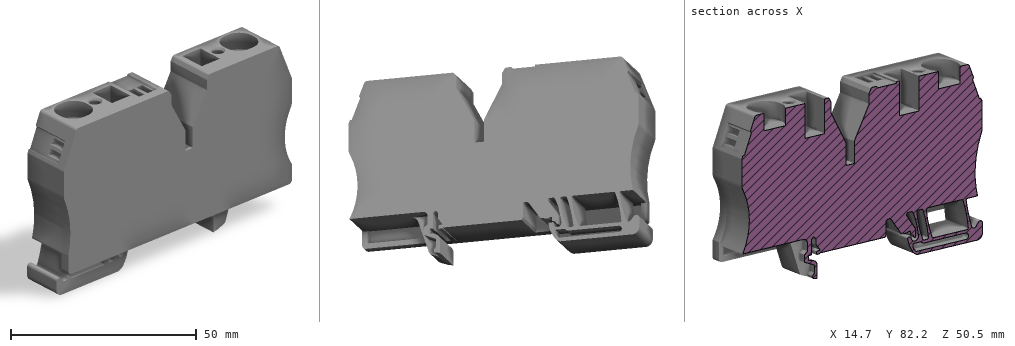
import cadquery as cq
import math


housing_width = 11.9
total_width = 14.7
half_length = 41.0
top_z = 43.4

top_half_length = 36.4
slope_foot_z = 31.9
waist_top_z = 23.75
shoulder_round = 1.1
slope_foot_round = 0.8
waist_top_round = 2.6

notch_y = 4.0
notch_half_slot = 1.3
notch_half_mouth = 6.4
notch_half_lip = 7.2
notch_floor_z = 23.1
notch_slot_z = 29.35
notch_mouth_z = 38.9
notch_lip_z = 41.9
notch_lip_round = 0.8

left_waist = (38.5, 14.3)
right_end_y = -39.4

left_under_z = 4.9
right_under_z = 5.4
pad_drop = 0.25
foot_z = -7.1
foot_end_y = -41.2
web_start_x = 4.1
groove_depth = 4.1
base_notch_round = 0.6

leg_window_round = 0.4
leg_window_sides = [
    (
        [(-18.75, right_under_z), (-19.65, 0.4), (-20.9, -3.3)],
        [(-20.6, right_under_z), (-22.0, 0.4), (-22.6, -3.3)],
    ),
    (
        [(-21.95, right_under_z), (-22.85, 0.4), (-24.1, -3.3)],
        [(-34.3, right_under_z), (-35.7, 0.4), (-36.2, -3.3)],
    ),
]

lid_wall = 0.9
lid_rim = 1.5
lid_corner_round = 1.0
lid_edge_z = 5.8
pocket_round = 0.4
shelf_thickness = 1.5

opening_x = 5.9
socket_y = 29.75
socket_x_size = 9.9
socket_y_size = 10.0
socket_round = 4.35
socket_depth = 4.9
screw_y = 22.1
screw_radius = 1.6
screw_mouth_radius = 2.05
screw_bevel = 0.65
screw_depth = 4.9
window_y = 16.1
window_x_size = 8.0
window_y_size = 6.6
window_depth = 9.9

recess_length = 6.7
recess_bevel = 0.3
recess_depth = 0.5
recess_start_y = -4.9
slope_recess_z = 39.2
tag_count = 2
tag_first = 0.9
tag_length = 2.0
tag_gap = 1.1
tag_depth = 2.1
tag_taper = 0.3
tag_start_x = 6.7
overshoot = 0.4


def prism(points, start_x, end_x):
    """Extrude a closed YZ polygon from start_x to end_x."""
    return cq.Workplane("YZ", origin=(start_x, 0, 0)).polyline(points).close().extrude(end_x - start_x)


def round_edge(body, y, z, radius):
    """Round the X-parallel edge that passes closest to (y, z)."""
    middle_x = body.val().Center().x
    return body.edges("|X").edges(cq.NearestToPointSelector((middle_x, y, z))).fillet(radius)


def start_outline(start_x, left_foot):
    """Left waist, top and central notch, drawn from the left foot to the top of the right waist."""
    return (
        cq.Workplane("YZ", origin=(start_x, 0, 0))
        .moveTo(*left_foot)
        .threePointArc(left_waist, (half_length, waist_top_z))
        .lineTo(half_length, slope_foot_z)
        .lineTo(top_half_length, top_z)
        .lineTo(notch_y + notch_half_lip, top_z)
        .lineTo(notch_y + notch_half_mouth, notch_lip_z)
        .lineTo(notch_y + notch_half_mouth, notch_mouth_z)
        .lineTo(notch_y + notch_half_slot, notch_slot_z)
        .lineTo(notch_y + notch_half_slot, notch_floor_z)
        .lineTo(notch_y - notch_half_slot, notch_floor_z)
        .lineTo(notch_y - notch_half_slot, notch_slot_z)
        .lineTo(notch_y - notch_half_mouth, notch_mouth_z)
        .lineTo(notch_y - notch_half_mouth, notch_lip_z)
        .lineTo(notch_y - notch_half_lip, top_z)
        .lineTo(-top_half_length, top_z)
        .lineTo(-half_length, slope_foot_z)
        .lineTo(-half_length, waist_top_z)
    )


def round_outline(body):
    """Round the corners of the shared outline."""
    for side in (1, -1):
        body = round_edge(body, side * top_half_length, top_z, shoulder_round)
        body = round_edge(body, side * half_length, slope_foot_z, slope_foot_round)
        body = round_edge(body, side * half_length, waist_top_z, waist_top_round)
        body = round_edge(body, notch_y + side * notch_half_lip, top_z, notch_lip_round)
    return body


def housing_block():
    """Main block, with the base that rests on the rail."""
    block = (
        start_outline(0, (40.8, left_under_z))
        .threePointArc((-39.9, 20.55), (-38.6, 12.8))
        .threePointArc((-38.8, 9.1), (right_end_y, lid_edge_z))
        .lineTo(right_end_y, right_under_z)
        .lineTo(-16.5, right_under_z)
        .lineTo(-16.5, 0)
        .lineTo(-15.7, 0)
        .lineTo(-15.7, -pad_drop)
        .lineTo(-14.2, -pad_drop)
        .lineTo(-14.2, 0)
        .lineTo(14.4, 0)
        .lineTo(14.4, -pad_drop)
        .lineTo(15.6, -pad_drop)
        .lineTo(15.6, 0.7)
        .lineTo(14.4, 0.9)
        .lineTo(15.7, 2.6)
        .lineTo(15.7, 3.9)
        .threePointArc((16.0, 4.6), (16.6, left_under_z))
        .close()
        .extrude(housing_width)
    )
    return round_outline(block)


def rail_arm():
    """Fixed hook that hangs below the left half and grips one edge of the rail."""
    return (
        cq.Workplane("YZ")
        .moveTo(19.8, left_under_z)
        .threePointArc((19.0, 4.5), (18.7, 3.5))
        .lineTo(18.7, 1.4)
        .lineTo(19.65, 0.6)
        .lineTo(19.65, -1.6)
        .lineTo(16.3, -3.05)
        .lineTo(16.3, -5.2)
        .lineTo(16.9, -6.0)
        .lineTo(16.8, -6.7)
        .lineTo(15.2, foot_z)
        .lineTo(15.2, -3.3)
        .threePointArc((15.5, -2.3), (16.1, -1.8))
        .lineTo(17.35, -1.3)
        .lineTo(18.2, -1.3)
        .lineTo(18.2, 0)
        .lineTo(17.2, 0)
        .lineTo(17.2, 4.3)
        .lineTo(16.6, left_under_z)
        .close()
        .extrude(housing_width)
    )


def arm_web():
    """Wedge behind the arm that stiffens it, set back from the -X face."""
    return (
        cq.Workplane("YZ", origin=(web_start_x, 0, 0))
        .moveTo(24.0, left_under_z)
        .threePointArc((23.2, 4.4), (22.6, 3.5))
        .lineTo(19.65, -5.2)
        .threePointArc((19.3, -5.7), (18.75, -6.0))
        .lineTo(16.8, -6.7)
        .lineTo(16.3, -5.2)
        .lineTo(16.3, -3.05)
        .lineTo(17.9, 0)
        .lineTo(17.9, left_under_z)
        .close()
        .extrude(housing_width - web_start_x)
    )


def latch_blank():
    """Solid outline of the spring latch below the right half, before its slots are cut."""
    return (
        cq.Workplane("YZ")
        .moveTo(-16.5, right_under_z)
        .lineTo(foot_end_y, right_under_z)
        .lineTo(foot_end_y, -5.2)
        .threePointArc((-40.6, -6.5), (-39.3, foot_z))
        .lineTo(-18.8, foot_z)
        .threePointArc((-18.0, -6.65), (-17.1, -5.8))
        .lineTo(-16.0, -3.9)
        .lineTo(-15.5, -2.1)
        .threePointArc((-15.5, -1.7), (-15.9, -1.5))
        .lineTo(-16.5, -1.5)
        .close()
        .extrude(housing_width)
    )


def tooth_slot():
    """Slot between the tooth of the base and the first spring leg, opening under the tooth."""
    return (
        cq.Workplane("YZ")
        .moveTo(-15.3, 4.8)
        .lineTo(-15.5, right_under_z)
        .lineTo(-17.1, right_under_z)
        .lineTo(-17.5, 4.8)
        .lineTo(-18.3, 2.6)
        .lineTo(-19.15, -1.5)
        .threePointArc((-18.0, -3.0), (-16.85, -1.5))
        .lineTo(-16.5, -1.5)
        .lineTo(-16.5, -1.1)
        .lineTo(-17.4, -1.3)
        .lineTo(-17.8, -2.05)
        .lineTo(-18.3, -2.05)
        .lineTo(-18.3, 0.4)
        .close()
        .extrude(housing_width)
    )


def leg_window(left_side, right_side):
    """Window between two curved spring legs; each side is its top, middle and bottom point."""
    return (
        cq.Workplane("YZ")
        .moveTo(*left_side[0])
        .threePointArc(*left_side[1:])
        .lineTo(*right_side[2])
        .threePointArc(right_side[1], right_side[0])
        .close()
        .extrude(housing_width)
        .edges("|X")
        .fillet(leg_window_round)
    )


def end_slot():
    """Open space between the last spring leg and the upturned end of the latch."""
    beyond_y = foot_end_y - overshoot
    return (
        cq.Workplane("YZ")
        .moveTo(beyond_y, right_under_z)
        .lineTo(-36.0, right_under_z)
        .threePointArc((-35.7, 5.3), (-35.6, 4.9))
        .threePointArc((-36.4, 0.8), (-37.4, -2.6))
        .threePointArc((-38.05, -3.3), (-38.8, -3.05))
        .lineTo(-39.6, -2.0)
        .threePointArc((-40.6, -1.7), (foot_end_y, -2.7))
        .lineTo(beyond_y, -2.7)
        .close()
        .extrude(housing_width)
    )


def latch_groove():
    """Blind lengthwise groove in the -X face of the latch bar."""
    return (
        cq.Workplane("YZ")
        .moveTo(-17.4, -3.7)
        .lineTo(-20.1, -3.7)
        .lineTo(-20.7, -4.3)
        .lineTo(-35.4, -4.3)
        .threePointArc((-36.25, -5.1), (-35.4, -6.0))
        .lineTo(-18.4, -6.0)
        .lineTo(-17.4, -4.7)
        .close()
        .extrude(groove_depth)
    )


def base_notch():
    """Slanted notch in the underside of the base."""
    points = [(-7.9, 0), (-8.3, 0.7), (-8.3, 4.9), (-9.7, 4.9), (-13.2, 0)]
    return prism(points, 0, housing_width).edges("|X").edges(">Z").fillet(base_notch_round)


def top_openings():
    """Screwdriver socket, screw mouth and wire window, mirrored into both halves."""
    top = cq.Workplane("XY", origin=(opening_x, 0, top_z))
    socket = (
        top.center(0, socket_y)
        .rect(socket_x_size, socket_y_size)
        .extrude(-socket_depth)
        .edges("|Z")
        .fillet(socket_round)
    )
    screw = top.center(0, screw_y).circle(screw_radius).extrude(-screw_depth)
    screw_mouth = (
        top.center(0, screw_y)
        .circle(screw_mouth_radius)
        .workplane(offset=-screw_bevel)
        .circle(screw_radius)
        .loft()
    )
    window = top.center(0, window_y).rect(window_x_size, window_y_size).extrude(-window_depth)
    one_half = socket.union(screw).union(screw_mouth).union(window)
    return one_half.union(one_half.mirror("XZ"))


def marker_recess(start, along):
    """Shallow recess across the housing from `start` in direction `along`, with two tag pockets.

    Depth is measured to the left of `along`, seen from +X.
    """
    along_y, along_z = along

    def point(distance, depth):
        return (
            start[0] + distance * along_y - depth * along_z,
            start[1] + distance * along_z + depth * along_y,
        )

    recess = prism(
        [
            point(0, -overshoot),
            point(recess_length, -overshoot),
            point(recess_length, recess_depth),
            point(recess_bevel, recess_depth),
            point(0, 0),
        ],
        0,
        housing_width,
    )
    for number in range(tag_count):
        near = tag_first + number * (tag_length + tag_gap)
        far = near + tag_length
        pocket = prism(
            [
                point(near, 0),
                point(far, 0),
                point(far, recess_depth),
                point(far - tag_taper, recess_depth + tag_depth),
                point(near + tag_taper, recess_depth + tag_depth),
                point(near, recess_depth),
            ],
            tag_start_x,
            housing_width,
        )
        recess = recess.union(pocket)
    return recess


def marker_recesses():
    """One recess on top beside the notch and one on each end slope."""
    run = half_length - top_half_length
    rise = top_z - slope_foot_z
    slope_length = math.hypot(run, rise)
    slope_start_y = -half_length + run * (slope_recess_z - slope_foot_z) / rise
    slope = marker_recess(
        (slope_start_y, slope_recess_z),
        (-run / slope_length, -rise / slope_length),
    )
    top = marker_recess((recess_start_y, top_z), (-1, 0))
    return slope.union(slope.mirror("XZ")).union(top)


def notch_shelf():
    """Ledge under the notch floor that reaches into the lid."""
    return cq.Workplane("XY").box(
        total_width - lid_wall - housing_width,
        2 * notch_half_slot,
        shelf_thickness,
        centered=(False, True, False),
    ).translate((housing_width, notch_y, notch_floor_z - shelf_thickness))


def make_housing():
    body = housing_block().union(rail_arm()).union(arm_web()).union(latch_blank())
    body = body.cut(tooth_slot()).cut(end_slot()).cut(latch_groove()).cut(base_notch())
    for left_side, right_side in leg_window_sides:
        body = body.cut(leg_window(left_side, right_side))
    body = body.cut(top_openings()).cut(marker_recesses())
    return body.union(notch_shelf())


def make_lid():
    """Cover on the +X side, hollowed along its lower edge and around the notch shelf."""
    lid = (
        start_outline(housing_width, (half_length, lid_edge_z))
        .threePointArc((-38.7, 14.0), (right_end_y, lid_edge_z))
        .lineTo(right_end_y, 0)
        .lineTo(half_length, 0)
        .close()
        .extrude(total_width - housing_width)
    )
    lid = round_outline(lid)
    lid = round_edge(lid, half_length, 0, lid_corner_round)
    lid = round_edge(lid, right_end_y, 0, lid_corner_round)
    pocket = prism(
        [
            (half_length - lid_rim, lid_rim),
            (half_length - lid_rim, right_under_z),
            (right_end_y + lid_rim, right_under_z),
            (right_end_y + lid_rim, lid_rim),
        ],
        housing_width,
        total_width - lid_wall,
    ).edges("|X").edges("<Z").fillet(pocket_round)
    return lid.cut(pocket).cut(notch_shelf())


housing = make_housing()
lid = make_lid()
result = cq.Compound.makeCompound([housing.solids().val(), lid.solids().val()])